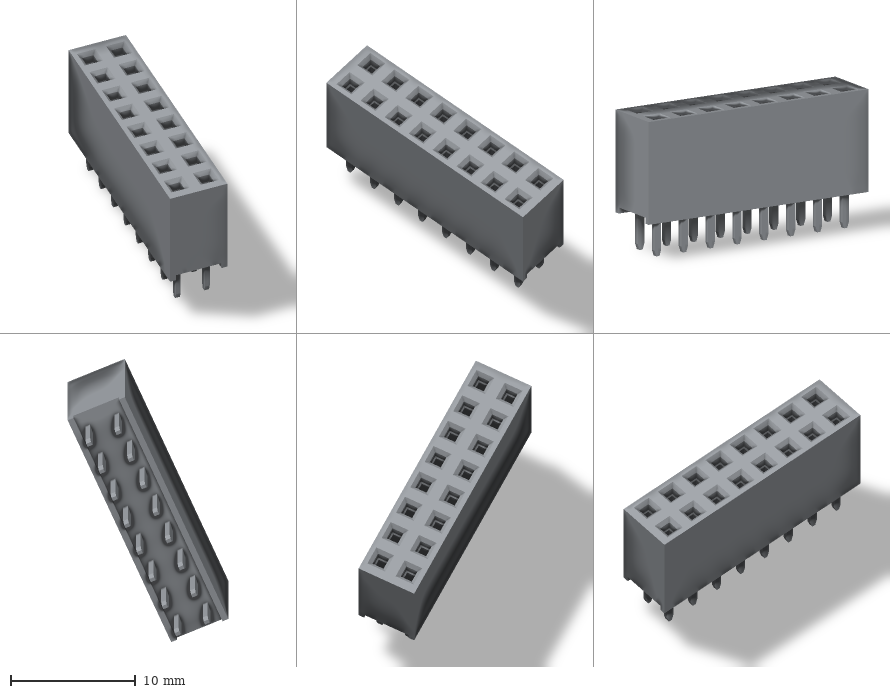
import cadquery as cq

columns = 8
rows = 2
pitch = 2.55

housing_length = 20.82
housing_width = 5
housing_height = 8.5
rail_height = 0.5
rail_width = 0.5

mouth_size = 1.6
well_size = 1.0
funnel_depth = 0.31
well_depth = 1.0
contact_size = 0.7
contact_depth = 5.0

pin_thickness_x = 0.62
pin_thickness_y = 0.42
pin_length = 3.0
pin_tip_length = 0.5
pin_tip_width = 0.3

positions = [
    ((column - (columns - 1) / 2) * pitch, (row - (rows - 1) / 2) * pitch)
    for column in range(columns)
    for row in range(rows)
]


def make_housing():
    """Block with a channel along its underside, leaving a rail on each long edge."""
    block = cq.Workplane("XY").box(
        housing_length, housing_width, housing_height, centered=(True, True, False)
    )
    channel = cq.Workplane("XY").box(
        housing_length, housing_width - 2 * rail_width, rail_height, centered=(True, True, False)
    )
    return block.cut(channel)


def make_socket():
    """Void of one socket: square funnel, straight well, then a narrower contact hole."""
    top = cq.Workplane("XY").workplane(offset=housing_height)
    funnel = (
        top.rect(mouth_size, mouth_size)
        .workplane(offset=-funnel_depth)
        .rect(well_size, well_size)
        .loft(ruled=True)
    )
    well = top.rect(well_size, well_size).extrude(-well_depth)
    contact_hole = top.rect(contact_size, contact_size).extrude(-contact_depth)
    return funnel.union(well).union(contact_hole)


def make_pin():
    """Flat pin below the channel roof, narrowing along X towards its tip."""
    half_width = pin_thickness_x / 2
    half_tip = pin_tip_width / 2
    taper_start = pin_tip_length - pin_length
    return (
        cq.Workplane("XZ")
        .polyline([
            (-half_width, rail_height),
            (half_width, rail_height),
            (half_width, taper_start),
            (half_tip, -pin_length),
            (-half_tip, -pin_length),
            (-half_width, taper_start),
        ])
        .close()
        .extrude(pin_thickness_y / 2, both=True)
    )


socket = make_socket()
pin = make_pin()
result = make_housing()
for x, y in positions:
    result = result.cut(socket.translate((x, y, 0)))
    result = result.union(pin.translate((x, y, 0)))